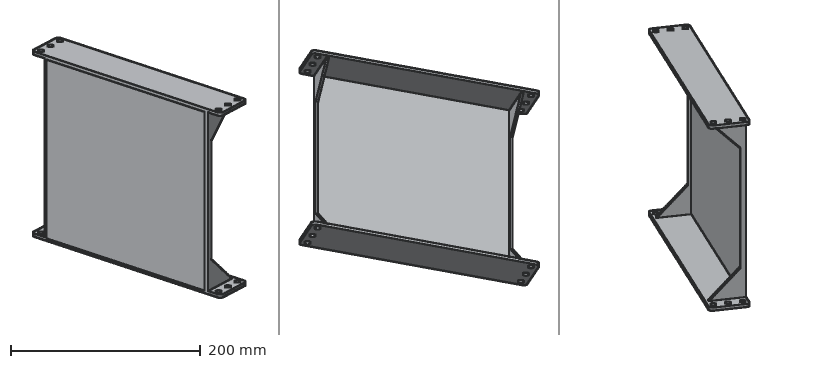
import cadquery as cq

length = 254.0
depth = 44.5
height = 215.0

flange_thickness = 3.8
corner_radius = 4.0
hole_diameter = 6.0
hole_spacing_x = 238.3
hole_pitch_y = 16.0
hole_columns = 2
hole_rows = 3

tray_width = 220.0
floor_thickness = 2.8
wall_thickness = floor_thickness
wall_depth = 6.0
gusset_leg = 34.5

recess_depth = 0.13
recess_left_margin = 2.8
recess_right_margin = 5.0
recess_bottom_margin = 2.8
recess_top_margin = 4.5

front_y = -depth / 2
left_x = -tray_width / 2
bottom_z = -height / 2
inner_height = height - 2 * flange_thickness


def make_flange(base_z):
    """Rounded plate with a row of mounting holes at each end."""
    plate = (
        cq.Workplane("XY", origin=(0, 0, base_z))
        .rect(length, depth)
        .extrude(flange_thickness)
        .edges("|Z")
        .fillet(corner_radius)
    )
    return (
        plate.faces(">Z")
        .workplane(centerOption="CenterOfBoundBox")
        .rarray(hole_spacing_x, hole_pitch_y, hole_columns, hole_rows)
        .hole(hole_diameter)
    )


def make_side_wall(start_x):
    """Low wall that widens at 45 degrees into a gusset under each flange."""
    wall_y = front_y + wall_depth
    gusset_y = wall_y + gusset_leg
    top_z = inner_height / 2
    outline = [
        (front_y, -top_z),
        (gusset_y, -top_z),
        (wall_y, gusset_leg - top_z),
        (wall_y, top_z - gusset_leg),
        (gusset_y, top_z),
        (front_y, top_z),
    ]
    return (
        cq.Workplane("YZ", origin=(start_x, 0, 0))
        .polyline(outline)
        .close()
        .extrude(wall_thickness)
    )


def make_floor():
    """Plate that closes the front of the tray from flange to flange."""
    plate = cq.Workplane("XY").box(tray_width, floor_thickness, inner_height)
    return plate.translate((0, front_y + floor_thickness / 2, 0))


def make_recess():
    """Cutter for the off-centre recess in the front face."""
    recess_width = tray_width - recess_left_margin - recess_right_margin
    recess_height = height - recess_bottom_margin - recess_top_margin
    cutter = cq.Workplane("XY").box(recess_width, recess_depth, recess_height, centered=False)
    return cutter.translate((left_x + recess_left_margin, front_y, bottom_z + recess_bottom_margin))


result = make_floor()
for wall_x in (left_x, -left_x - wall_thickness):
    result = result.union(make_side_wall(wall_x))
for flange_z in (bottom_z, -bottom_z - flange_thickness):
    result = result.union(make_flange(flange_z))
result = result.cut(make_recess())